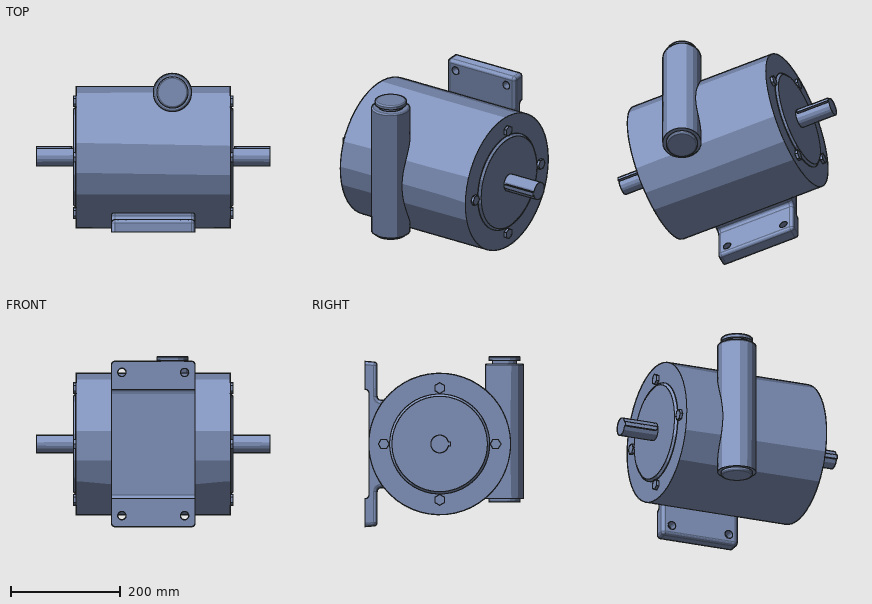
import cadquery as cq
import math


HOUSING_RADIUS = 129.0
HOUSING_LENGTH = 281.0
END_PLATE_RADIUS = 91.0
END_PLATE_HEIGHT = 5.0
END_PLATE_CHAMFER = 4.3

BOLT_COUNT = 4
BOLT_SIDES = 6
BOLT_CIRCLE_RADIUS = 101.5
BOLT_ACROSS_FLATS = 17.0

SHAFT_RADIUS = 16.0
SHAFT_LENGTH = 425.5
KEY_WIDTH = 7.2
KEY_TOP = 19.5
KEY_HEIGHT = 7.5
KEY_GAP = 2.5

BASE_LENGTH = 152.5
BASE_HALF_HEIGHT = 150.5
BASE_FACE_Y = -136.0
FOOT_THICKNESS = 22.5
FOOT_INNER_Z = 99.0
FOOT_DRAFT_ANGLE = 5.0
WEB_HALF_HEIGHT = 80.0
WEB_ROOT_Y = -85.0
WEB_FILLET = 6.5
BASE_EDGE_FILLET = 6.5
RELIEF_FILLET = 6.5
BOLT_HOLE_DIAMETER = 15.0
BOLT_HOLE_X = 57.0
BOLT_HOLE_Z = 130.0
SELECTOR_SIZE = 1.0

CANISTER_RADIUS = 35.0
CANISTER_X = 35.0
CANISTER_Y = 118.0
CANISTER_BOTTOM_Z = -99.5
CANISTER_TOP_Z = 145.5
CAP_RADIUS = 28.5
NECK_RADIUS = 22.0
NECK_HEIGHT = 6.5
TOP_CAP_HEIGHT = 7.2
BOTTOM_CAP_HEIGHT = 6.5
CANISTER_FILLET = 2.5


def x_cylinder(radius, length):
    """Cylinder along X, centred on the origin."""
    return cq.Workplane("YZ").circle(radius).extrude(length / 2, both=True)


def z_cylinder(radius, bottom, height):
    """Cylinder of the canister, on its upright axis."""
    return cq.Workplane("XY", origin=(CANISTER_X, CANISTER_Y, bottom)).circle(radius).extrude(height)


def make_housing():
    end_plates = x_cylinder(END_PLATE_RADIUS, HOUSING_LENGTH + 2 * END_PLATE_HEIGHT)
    end_plates = end_plates.faces("<X or >X").chamfer(END_PLATE_CHAMFER)
    bolt_heads = (
        cq.Workplane("YZ")
        .polarArray(BOLT_CIRCLE_RADIUS, 0, 360, BOLT_COUNT)
        .polygon(BOLT_SIDES, BOLT_ACROSS_FLATS / math.cos(math.pi / BOLT_SIDES))
        .extrude(HOUSING_LENGTH / 2 + END_PLATE_HEIGHT, both=True)
    )
    return x_cylinder(HOUSING_RADIUS, HOUSING_LENGTH).union(end_plates).union(bolt_heads)


def make_shaft():
    shaft = x_cylinder(SHAFT_RADIUS, SHAFT_LENGTH)
    key_inner_x = HOUSING_LENGTH / 2 + END_PLATE_HEIGHT + KEY_GAP
    straight_length = SHAFT_LENGTH / 2 - key_inner_x - KEY_WIDTH / 2
    straight_center_x = (SHAFT_LENGTH - straight_length) / 2
    key_round = cq.Workplane("XZ", origin=(key_inner_x + KEY_WIDTH / 2, KEY_TOP, 0))
    key_round = key_round.circle(KEY_WIDTH / 2).extrude(KEY_HEIGHT)
    key_bar = cq.Workplane("XY").box(straight_length, KEY_HEIGHT, KEY_WIDTH)
    key_bar = key_bar.translate((straight_center_x, KEY_TOP - KEY_HEIGHT / 2, 0))
    key = key_bar.union(key_round)
    return shaft.union(key).union(key.mirror("YZ"))


def edge_at(y, z):
    """Selector for the edge along X whose middle lies at (0, y, z)."""
    half = SELECTOR_SIZE / 2
    return cq.selectors.BoxSelector((-half, y - half, z - half), (half, y + half, z + half))


def make_base():
    """Web and two feet: one profile extruded along X, open to the housing at its root."""
    foot_back_y = BASE_FACE_Y + FOOT_THICKNESS
    middle_face_y = -HOUSING_RADIUS
    foot_back_z = BASE_HALF_HEIGHT - FOOT_THICKNESS * math.tan(math.radians(FOOT_DRAFT_ANGLE))
    upper_points = [
        (middle_face_y, FOOT_INNER_Z),
        (BASE_FACE_Y, FOOT_INNER_Z),
        (BASE_FACE_Y, BASE_HALF_HEIGHT),
        (foot_back_y, foot_back_z),
        (foot_back_y, WEB_HALF_HEIGHT),
        (WEB_ROOT_Y, WEB_HALF_HEIGHT),
    ]
    lower_points = [(y, -z) for y, z in reversed(upper_points)]
    base = (
        cq.Workplane("YZ")
        .polyline(upper_points + lower_points)
        .close()
        .extrude(BASE_LENGTH / 2, both=True)
    )

    for side in (1, -1):
        web_corner = edge_at(foot_back_y, side * WEB_HALF_HEIGHT)
        base = base.edges(web_corner).fillet(WEB_FILLET)
        relief_corner = edge_at(middle_face_y, side * FOOT_INNER_Z)
        base = base.edges(relief_corner).fillet(RELIEF_FILLET)

    for z_end in (">Z", "<Z"):
        base = base.faces(z_end).edges("<X or >X").fillet(BASE_EDGE_FILLET)
    for side in (1, -1):
        foot_end_edge = edge_at(foot_back_y, side * foot_back_z)
        base = base.edges(foot_end_edge).fillet(BASE_EDGE_FILLET)

    holes = (
        cq.Workplane("XZ", origin=(0, BASE_FACE_Y, 0))
        .rect(2 * BOLT_HOLE_X, 2 * BOLT_HOLE_Z, forConstruction=True)
        .vertices()
        .circle(BOLT_HOLE_DIAMETER / 2)
        .extrude(-FOOT_THICKNESS)
    )
    return base.cut(holes)


def make_canister():
    body = z_cylinder(CANISTER_RADIUS, CANISTER_BOTTOM_Z, CANISTER_TOP_Z - CANISTER_BOTTOM_Z)
    body = body.faces(">Z").edges().fillet(CANISTER_FILLET)
    neck = z_cylinder(NECK_RADIUS, CANISTER_TOP_Z, NECK_HEIGHT)
    top_cap = z_cylinder(CAP_RADIUS, CANISTER_TOP_Z + NECK_HEIGHT, TOP_CAP_HEIGHT)
    top_cap = top_cap.faces(">Z").edges().fillet(CANISTER_FILLET)
    bottom_cap = z_cylinder(CAP_RADIUS, CANISTER_BOTTOM_Z, -BOTTOM_CAP_HEIGHT)
    bottom_cap = bottom_cap.faces("<Z").edges().fillet(CANISTER_FILLET)
    return body.union(neck).union(top_cap).union(bottom_cap)


result = make_housing().union(make_shaft()).union(make_base()).union(make_canister())